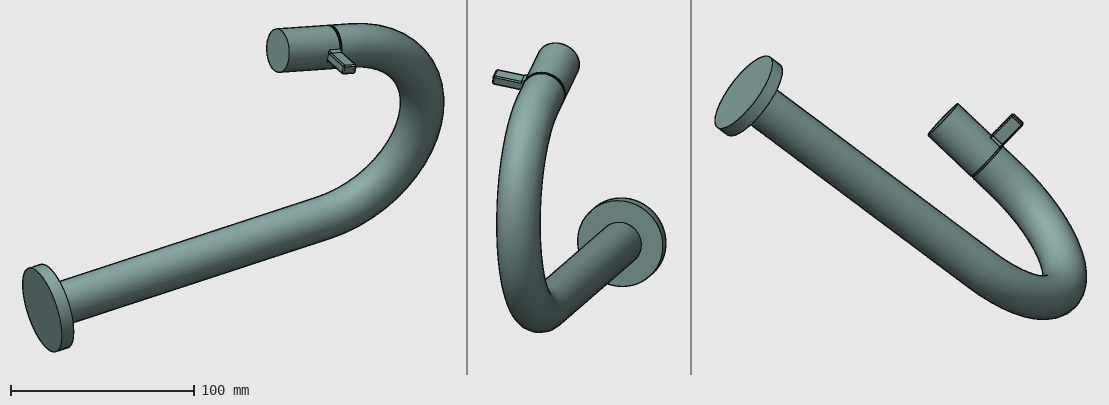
import cadquery as cq
import math

flange_diameter = 48.0
flange_thickness = 7.3

tube_diameter = 24.0
overall_depth = 243.7
bend_radius = 60.2
rise_angle = 17.0

head_length = 32.7
groove_width = 1.0
groove_depth = 0.5
tip_y = 143.8

lever_width = 8.3
lever_thickness = 5.4
lever_reach = 29.0
lever_chamfer = 0.7
lever_lift = 0.5
flare_end = 13.2
flare_length = 3.7
flare_height = 2.0
lever_tilt = 10.0
lever_from_tip = 29.2

rise = math.radians(rise_angle)
tube_radius = tube_diameter / 2
bend_center_y = overall_depth - tube_radius - bend_radius
bend_center_z = bend_radius


def bend_point(angle):
    """Point on the bend axis, with the angle measured from +Y toward +Z."""
    return (
        bend_center_y + bend_radius * math.cos(angle),
        bend_center_z + bend_radius * math.sin(angle),
    )


bend_start = bend_point(-math.pi / 2)
bend_middle = bend_point(0)
bend_end = bend_point(math.pi / 2 - rise)
tip_z = bend_end[1] + (bend_end[0] - tip_y) * math.tan(rise)

tip_plane = cq.Plane(
    origin=(0, tip_y, tip_z),
    xDir=(1, 0, 0),
    normal=(0, -math.cos(rise), math.sin(rise)),
)


def make_flange():
    disc = cq.Workplane("XZ").circle(flange_diameter / 2)
    return disc.extrude(-flange_thickness)


def make_tube():
    path = (
        cq.Workplane("YZ")
        .lineTo(*bend_start)
        .threePointArc(bend_middle, bend_end)
        .lineTo(tip_y, tip_z)
    )
    return cq.Workplane("XZ").circle(tube_radius).sweep(path)


def make_groove():
    ring = (
        cq.Workplane(tip_plane)
        .workplane(offset=-head_length - groove_width)
        .circle(tube_radius + groove_depth)
        .circle(tube_radius - groove_depth)
    )
    return ring.extrude(groove_width)


def make_lever():
    """Bar starting inside the head, tilted about the head axis."""
    half = lever_thickness / 2
    flare_start = flare_end - flare_length
    upper_side = [
        (0, half + flare_height),
        (flare_start, half + flare_height),
        (flare_end, half),
        (lever_reach, half),
    ]
    lower_side = [(x, -y) for x, y in reversed(upper_side)]
    bar = (
        cq.Workplane("XY")
        .polyline(upper_side + lower_side)
        .close()
        .extrude(lever_width / 2, both=True)
        .edges(">Z or <Z or >X")
        .chamfer(lever_chamfer)
        .translate((0, lever_lift, 0))
        .rotate((0, 0, 0), (0, 0, 1), lever_tilt)
        .translate((0, 0, -lever_from_tip))
    )
    return cq.Workplane(obj=bar.val().moved(cq.Location(tip_plane)))


result = make_tube().union(make_flange()).cut(make_groove()).union(make_lever())